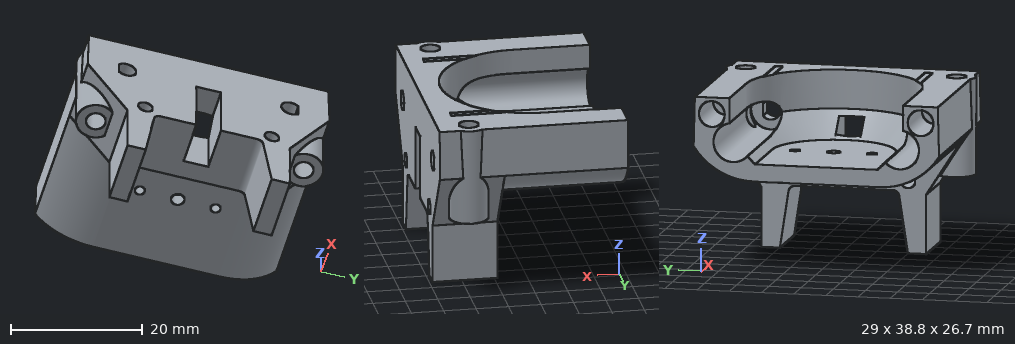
import cadquery as cq
import math

length = 29.0
top_half_width = 18.9
side_half_width = 19.1
side_bottom = -7.68
body_bottom = -12.72
flat_half_width = 9.9

bracket_front = 19.0
leg_outer = 12.8
leg_shoulder = -17.45
leg_bottom = -26.65
foot_inner = 9.93
leg_inner_top = 8.45
web_bottom = -17.0
web_fillet = 1.0
bracket_hole_diameter = 2.25
bracket_hole_y = 9.95
bracket_hole_z = -15.45

boss_diameter = 6.0
boss_hole_diameter = 3.0
boss_x = 24.1
boss_y = 19.4 - boss_diameter / 2
boss_bottom = -15.0

pocket_center_x = 12.02
pocket_radius = 13.5
pocket_step = -6.0
floor_radius = 9.5
floor_z = -10.05
floor_hole_diameter = 1.5
center_hole_diameter = 2.0
floor_hole_y = 5.97

bore_diameter = 6.0
bore_y = 12.95
bore_z = -6.83
bore_end = 26.0
outlet_diameter = 3.0
outlet_flat_y = 14.12

blind_diameter = 4.0
blind_y = 16.2
blind_z = -2.55
blind_depth = 9.7

window_width = 3.88
window_top = -7.0
window_bottom = -9.55

slot_y = 11.65
slot_width = 1.15
slot_end = 26.0
slot_depth = 0.08


def rod(diameter, y, z, start, end):
    """Cylinder along X between two X positions."""
    return cq.Workplane("YZ", origin=(start, y, z)).circle(diameter / 2).extrude(end - start)


def post(diameter, x, y, bottom):
    """Vertical cylinder from a bottom height up to the top face."""
    return cq.Workplane("XY", origin=(x, y, bottom)).circle(diameter / 2).extrude(-bottom)


def box(x_range, y_center, width, z_range):
    """Block centred on y_center, between the given X and Z limits."""
    size_x = x_range[1] - x_range[0]
    size_z = z_range[1] - z_range[0]
    block = cq.Workplane("XY").box(size_x, width, size_z, centered=(False, True, False))
    return block.translate((x_range[0], y_center, z_range[0]))


def make_body():
    """Block with slightly drafted sides and rounded lower corners tangent to its bottom."""
    run = side_half_width - flat_half_width
    rise = side_bottom - body_bottom
    radius = (run**2 + rise**2) / (2 * rise)
    half_angle = math.asin(run / radius) / 2
    mid_y = flat_half_width + radius * math.sin(half_angle)
    mid_z = body_bottom + radius * (1 - math.cos(half_angle))
    return (
        cq.Workplane("YZ")
        .moveTo(-top_half_width, 0)
        .lineTo(top_half_width, 0)
        .lineTo(side_half_width, side_bottom)
        .threePointArc((mid_y, mid_z), (flat_half_width, body_bottom))
        .lineTo(-flat_half_width, body_bottom)
        .threePointArc((-mid_y, mid_z), (-side_half_width, side_bottom))
        .close()
        .extrude(length)
    )


def make_bracket():
    """Rear web with two tapered legs."""
    right_side = [
        (side_half_width, side_bottom),
        (leg_outer, leg_shoulder),
        (leg_outer, leg_bottom),
        (foot_inner, leg_bottom),
        (leg_inner_top, web_bottom),
    ]
    left_side = [(-y, z) for y, z in reversed(right_side)]
    bracket = (
        cq.Workplane("YZ", origin=(bracket_front, 0, 0))
        .polyline(right_side + left_side)
        .close()
        .extrude(length - bracket_front)
    )
    for side in (-1, 1):
        corner = cq.selectors.NearestToPointSelector(
            ((bracket_front + length) / 2, side * leg_inner_top, web_bottom)
        )
        bracket = bracket.edges("|X").edges(corner).fillet(web_fillet)
    return bracket


def make_pocket():
    """Cylinder over a cone at the rear, continued to the front by the same section."""
    half_section = [
        (0, 0),
        (pocket_radius, 0),
        (pocket_radius, pocket_step),
        (floor_radius, floor_z),
        (0, floor_z),
    ]
    round_end = (
        cq.Workplane("XZ")
        .polyline(half_section)
        .close()
        .revolve(360, (0, 0), (0, 1))
        .translate((pocket_center_x, 0, 0))
    )
    left_half = [(-y, z) for y, z in reversed(half_section[1:-1])]
    channel = cq.Workplane("YZ").polyline(half_section[1:-1] + left_half).close().extrude(pocket_center_x)
    return round_end.union(channel)


def make_outlet(side):
    """D-shaped passage whose flat faces outward."""
    outlet = rod(outlet_diameter, side * bore_y, bore_z, bore_end, length)
    inner_edge = bore_y - outlet_diameter / 2
    middle_y = (inner_edge + outlet_flat_y) / 2
    half_height = outlet_diameter / 2
    limits = box(
        (bore_end, length),
        side * middle_y,
        outlet_flat_y - inner_edge,
        (bore_z - half_height, bore_z + half_height),
    )
    return outlet.intersect(limits)


def make_window():
    """Notch through the conical wall, open to the rear and below."""
    cone_slope = (pocket_radius - floor_radius) / (pocket_step - floor_z)
    front = pocket_center_x + floor_radius + cone_slope * (window_bottom - floor_z)
    return box((front, length), 0, window_width, (web_bottom, window_top))


result = make_body().union(make_bracket())
for side in (-1, 1):
    result = result.union(post(boss_diameter, boss_x, side * boss_y, boss_bottom))

result = result.cut(make_pocket()).cut(make_window())
result = result.cut(post(center_hole_diameter, pocket_center_x, 0, body_bottom))
for side in (-1, 1):
    result = result.cut(post(floor_hole_diameter, pocket_center_x, side * floor_hole_y, body_bottom))
    result = result.cut(post(boss_hole_diameter, boss_x, side * boss_y, boss_bottom))
    result = result.cut(rod(bore_diameter, side * bore_y, bore_z, 0, bore_end))
    result = result.cut(make_outlet(side))
    result = result.cut(rod(blind_diameter, side * blind_y, blind_z, 0, blind_depth))
    result = result.cut(
        rod(bracket_hole_diameter, side * bracket_hole_y, bracket_hole_z, bracket_front, length)
    )
    result = result.cut(
        box((pocket_center_x, slot_end), side * slot_y, slot_width, (-slot_depth, 0))
    )